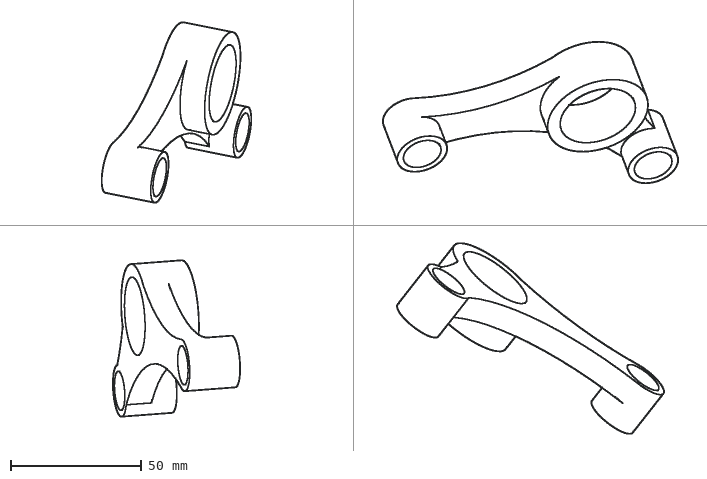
import cadquery as cq
import math

depth = 20.1
web_thickness = depth / 2
hub_radius = 20.1
hub_bore_radius = 15.0
boss_radius = 10.0
boss_bore_radius = 7.5

hub_center = (0, 0)
long_arm_center = (-70.0, 0)
short_arm_center = (22.1, -36.0)

hub_upper_angle = 128.5
hub_lower_angle = -27.4
long_arm_angle = 76.4
short_arm_outer_angle = 69
short_arm_inner_angle = -163

upper_edge_middle = (-47.0, 7.2)
lower_edge_middle = (-4.7, -22.4)
short_edge_middle = (21.7, -19.3)


def rim_point(center, radius, angle):
    """Point on a round rim at the given angle in degrees."""
    turn = math.radians(angle)
    return (center[0] + radius * math.cos(turn), center[1] + radius * math.sin(turn))


def cylinder(center, radius):
    """Full-depth cylinder along X."""
    return cq.Workplane("YZ").center(*center).circle(radius).extrude(depth)


def web():
    """Thin plate with three concave edges joining the hub and both bosses."""
    return (
        cq.Workplane("YZ")
        .moveTo(*rim_point(hub_center, hub_radius, hub_upper_angle))
        .threePointArc(upper_edge_middle, rim_point(long_arm_center, boss_radius, long_arm_angle))
        .lineTo(*rim_point(long_arm_center, boss_radius, -long_arm_angle))
        .threePointArc(lower_edge_middle, rim_point(short_arm_center, boss_radius, short_arm_inner_angle))
        .lineTo(*rim_point(short_arm_center, boss_radius, short_arm_outer_angle))
        .threePointArc(short_edge_middle, rim_point(hub_center, hub_radius, hub_lower_angle))
        .close()
        .extrude(web_thickness)
    )


rounds = [
    (hub_center, hub_radius, hub_bore_radius),
    (long_arm_center, boss_radius, boss_bore_radius),
    (short_arm_center, boss_radius, boss_bore_radius),
]

result = web()
for center, outer_radius, _ in rounds:
    result = result.union(cylinder(center, outer_radius))
for center, _, bore_radius in rounds:
    result = result.cut(cylinder(center, bore_radius))